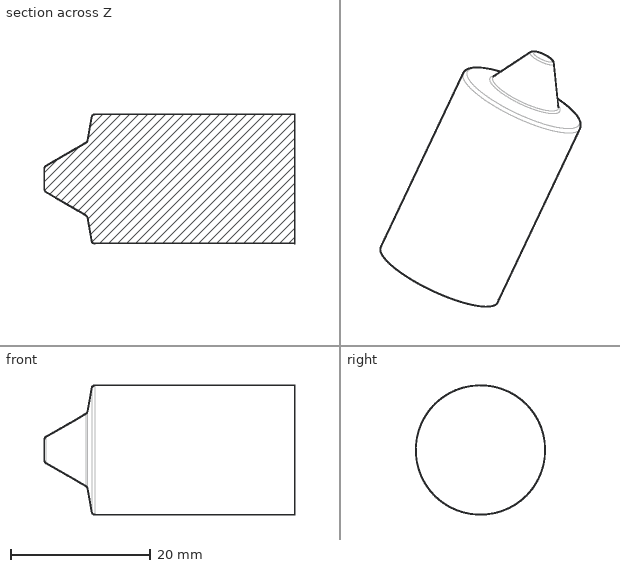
import cadquery as cq
import math

length = 35.98
body_radius = 18.6 / 2
tip_radius = 1.75
nose_half_angle = 30.0
shoulder_slope = 10.0
shoulder_x = 6.87
edge_round = 0.5

nose_slope = math.tan(math.radians(nose_half_angle))
shoulder_rise = math.tan(math.radians(shoulder_slope))

root_x = (shoulder_x - (body_radius - tip_radius) * shoulder_rise) / (1 - nose_slope * shoulder_rise)
root_radius = tip_radius + root_x * nose_slope

blank = (
    cq.Workplane("XY")
    .moveTo(0, 0)
    .lineTo(0, tip_radius)
    .lineTo(root_x, root_radius)
    .lineTo(shoulder_x, body_radius)
    .lineTo(length, body_radius)
    .lineTo(length, 0)
    .close()
    .revolve(360, (0, 0, 0), (1, 0, 0))
)

front_edges = cq.selectors.BoxSelector(
    (-0.35, -length, -length), (length / 2, length, length)
)
result = blank.edges("%CIRCLE").edges(front_edges).fillet(edge_round)